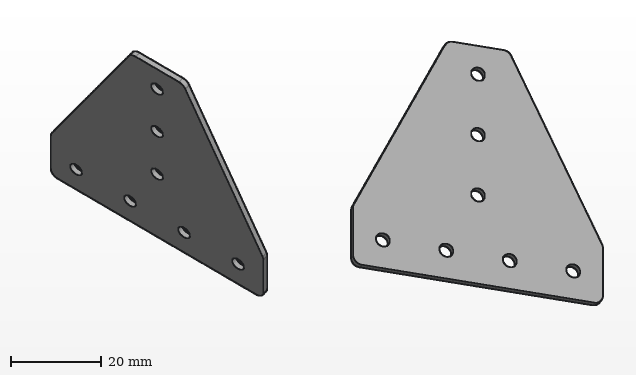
import cadquery as cq

width = 59.0
height = 59.0
thickness = 1.5
corner_radius = 2.0

top_width = 14.5
side_height = 14.35

hole_diameter = 3.25
edge_distance = 7.0
holes_per_row = 4
holes_in_column = 3
hole_pitch = (width - 2 * edge_distance) / (holes_per_row - 1)


def hole_centres():
    """Return the (x, z) hole centres, with the origin at the middle of the bottom edge."""
    row = [
        (-width / 2 + edge_distance + i * hole_pitch, edge_distance)
        for i in range(holes_per_row)
    ]
    column = [(0, height - edge_distance - i * hole_pitch) for i in range(holes_in_column)]
    return row + column


def make_plate():
    """Build the tapered plate, its front face on y = 0, with all six corners rounded."""
    outline = [
        (-width / 2, 0),
        (width / 2, 0),
        (width / 2, side_height),
        (top_width / 2, height),
        (-top_width / 2, height),
        (-width / 2, side_height),
    ]
    plate = cq.Workplane("XZ").polyline(outline).close().extrude(-thickness)
    return plate.edges("|Y").fillet(corner_radius)


def make_holes():
    """Build the cylinders that cut straight through the plate."""
    return cq.Workplane("XZ").pushPoints(hole_centres()).circle(hole_diameter / 2).extrude(-thickness)


result = make_plate().cut(make_holes())